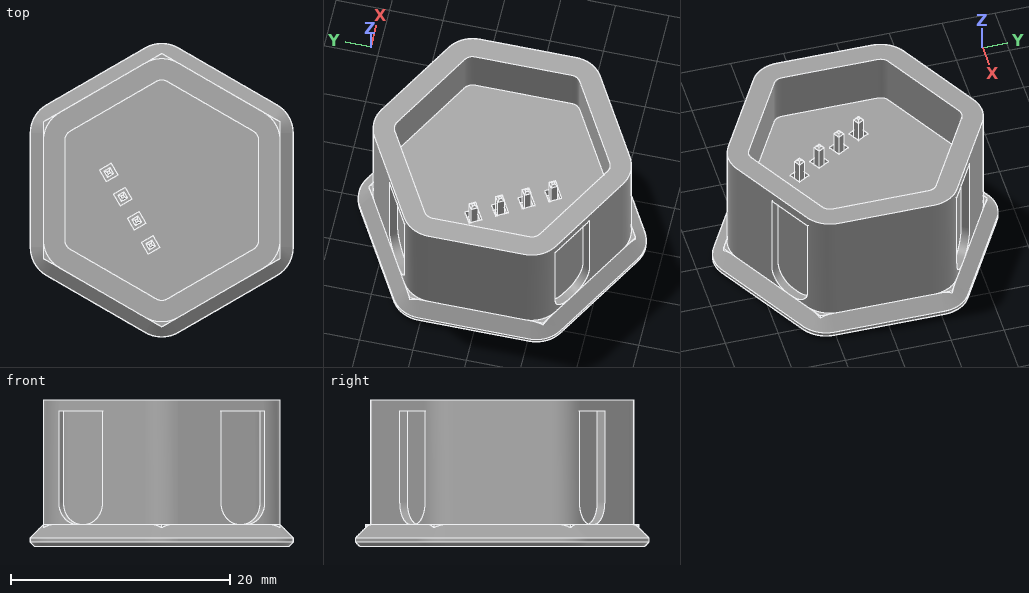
import cadquery as cq
import math

total_height = 13.4
flange_height = 2.0

flange_apothem = 12.0
body_apothem = 10.8
cavity_apothem = 8.85
corner_radius = 3.0
cavity_corner_radius = 1.0
cavity_depth = 4.93
cavity_floor_z = total_height - cavity_depth

flange_top_chamfer = flange_apothem - body_apothem
flange_bottom_chamfer = 0.4

window_flat_angle = 240.0
window_width = 4.6
window_depth = 0.8
window_bottom_radius = 2.0
window_bottom_z = flange_height
window_top_margin = 1.02
window_top_z = total_height - window_top_margin
window_height = window_top_z - window_bottom_z

pin_count = 4
pin_pitch = 2.55
pin_width = 0.65
pin_tip_chamfer = 0.2
pin_protrusion = 1.95
pin_top_z = cavity_floor_z + pin_protrusion
pin_hole_width = 1.23
header_offset = 3.37
header_angle = 210.0
strip_width = pin_pitch
strip_length = pin_count * pin_pitch
strip_height = 2.55
cavity_floor_thickness = 1.0
strip_top_z = cavity_floor_z - cavity_floor_thickness


def hexagon_prism(apothem, height, edge_radius=0.0):
    """Hexagonal prism standing on Z = 0, with optional rounded upright edges."""
    prism = cq.Workplane("XY").polygon(6, 2 * apothem, circumscribed=True).extrude(height)
    if edge_radius > 0:
        prism = prism.edges("|Z").fillet(edge_radius)
    return prism


def header_plane(z):
    """Plane at the middle of the pin row: X points to the nearest corner, Y along the row."""
    angle = math.radians(header_angle)
    outward = (math.cos(angle), math.sin(angle), 0)
    origin = (header_offset * outward[0], header_offset * outward[1], z)
    return cq.Plane(origin=origin, xDir=outward, normal=(0, 0, 1))


def square_row(z, width, height):
    """Row of upright square bars, one at each pin position."""
    return (
        cq.Workplane(header_plane(z))
        .rarray(0.27, pin_pitch, 1, pin_count)
        .rect(width, width)
        .extrude(height)
    )


def strip_block(z, height):
    """Block with the footprint of the header strip."""
    return cq.Workplane(header_plane(z)).rect(strip_width, strip_length).extrude(height)


def window_cutter():
    """Window on the flat that faces -X and -Y, from the middle of the flat towards -X."""
    outline = (
        cq.Workplane("XY")
        .box(body_apothem, window_width, window_height, centered=(False, False, False))
        .edges("|X and <Z")
        .fillet(window_bottom_radius)
        .translate((0, -window_width, 0))
        .rotate((0, 0, 0), (0, 0, 1), window_flat_angle)
        .translate((0, 0, window_bottom_z))
    )
    core = hexagon_prism(body_apothem - window_depth, total_height, corner_radius)
    return outline.cut(core)


def make_housing():
    flange = (
        hexagon_prism(flange_apothem, flange_height, corner_radius)
        .faces(">Z").chamfer(flange_top_chamfer)
        .faces("<Z").chamfer(flange_bottom_chamfer)
    )
    collar = hexagon_prism(body_apothem, flange_height)
    body = hexagon_prism(body_apothem, total_height, corner_radius)
    housing = flange.union(collar).union(body)

    cavity = hexagon_prism(cavity_apothem, cavity_depth, cavity_corner_radius)
    housing = housing.cut(cavity.translate((0, 0, cavity_floor_z)))

    window = window_cutter()
    for cutter in (window, window.mirror("YZ")):
        housing = housing.cut(cutter).cut(cutter.mirror("XZ"))

    housing = housing.cut(square_row(strip_top_z, pin_hole_width, cavity_floor_thickness))
    return housing.cut(strip_block(0, strip_top_z))


def make_header():
    strip = strip_block(strip_top_z - strip_height, strip_height)
    pins = square_row(strip_top_z, pin_width, pin_top_z - strip_top_z)
    pins = pins.faces(">Z").chamfer(pin_tip_chamfer)
    return strip.union(pins)


housing = make_housing()
header = make_header()
result = cq.Compound.makeCompound([housing.val(), header.val()])